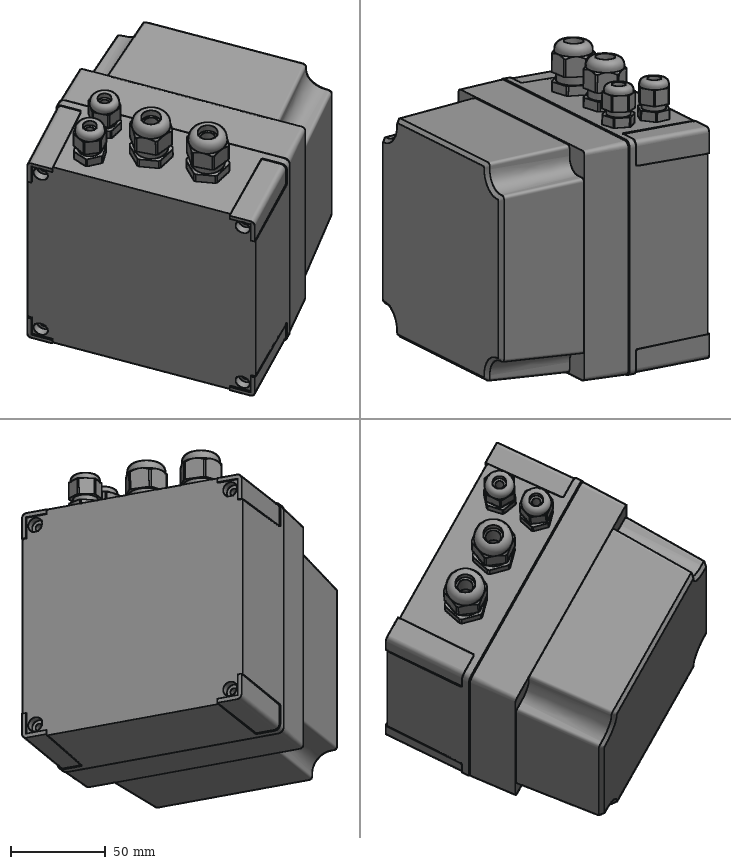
import cadquery as cq
import math

OVERALL_HEIGHT = 157.0
CORNER_AXIS = 56.8
EDGE_CENTRE = 61.4

BASE_DEPTH = 49.3
BASE_HALF_RIM = 130.1 / 2
BASE_HALF_FRONT = 64.4
RIM_CHAMFER_DEPTH = 0.6
WALL_TILT = math.atan((BASE_HALF_RIM - BASE_HALF_FRONT) / (BASE_DEPTH - RIM_CHAMFER_DEPTH))

PAD_START = 4.7
PAD_INNER_START = 50.7
PAD_INNER_FRONT = 49.9
PAD_EDGE_RADIUS = 1.0
PAD_BLOCK_REACH = BASE_HALF_RIM + 2 * PAD_EDGE_RADIUS
PAD_HALF_START = 64.4
PAD_HALF_FRONT = 64.0
FOOT_HEIGHT = 1.1
FOOT_WIDTH = 2.4
COUNTERBORE_DIAMETER = 8.0
COUNTERBORE_DEPTH = 4.5
SCREW_HOLE_DIAMETER = 4.0

LID_RIM_DEPTH = 26.4
LID_HALF_SEAM = 64.7
LID_HALF_STEP = 63.5
DOME_DEPTH = 49.9
DOME_CHAMFER_DEPTH = 2.2
DOME_CHAMFER_WIDTH = 2.0
DOME_HALF_STEP = 63.0
DOME_HALF_TOP = 60.5
DOME_EDGE_RADIUS = 1.9
DOME_EDGE_RADIUS_END = 1.0
FLUTE_CENTRE = 57.0
FLUTE_RADIUS_STEP = 8.5

FLANGE_HEIGHT = 5.3
FLANGE_TURN = 8.0
HALF_SIDE_ANGLE = 30
CORNER_TRIM = 0.97
SMALL_GLAND = dict(
    across_flats=15.7, neck_diameter=13.0, neck_height=3.3, hex_height=9.0, hex_chamfer=0.0,
    collar_height=1.1, rim_diameter=9.9, mouth_diameter=7.4, mouth_depth=3.1, bore_diameter=4.5,
)
LARGE_GLAND = dict(
    across_flats=20.4, neck_diameter=18.2, hex_height=11.1, hex_chamfer=1.5,
    collar_height=1.3, rim_diameter=11.6, mouth_diameter=10.5, mouth_depth=4.1, bore_diameter=8.0,
)
LARGE_GLAND_Y = -22.0
GLANDS = [
    (SMALL_GLAND, -34.8, -12.1, 5.3),
    (SMALL_GLAND, -34.8, -33.9, 30.3),
    (LARGE_GLAND, -4.9, LARGE_GLAND_Y, 5.3),
    (LARGE_GLAND, 27.0, LARGE_GLAND_Y, 5.3),
]
CORNERS = [(sx, sz) for sx in (-1, 1) for sz in (-1, 1)]


def section(y):
    """Workplane across the enclosure at the given Y, with local axes X and Z."""
    return cq.Workplane("XZ", origin=(0, y, 0))


def loft(*wires):
    """Solid with straight-sided walls through the given outlines."""
    return cq.Workplane(cq.Solid.makeLoft(list(wires), True))


def rounded_square(y, half):
    """Square outline whose corner arcs are centred on the edge centre lines."""
    outline = cq.Wire.makePolygon(
        [cq.Vector(sx * half, y, sz * half) for sx, sz in ((-1, -1), (1, -1), (1, 1), (-1, 1))], close=True
    )
    return outline.fillet2D(half - EDGE_CENTRE, outline.Vertices())


def fluted_square(y, half, flute_radius, edge_radius):
    """Square outline with a concave quarter round, flanked by short flats, in each corner."""
    shoulder = FLUTE_CENTRE - flute_radius
    middle = FLUTE_CENTRE - flute_radius * math.sqrt(0.5)
    corner = [
        (shoulder, half), (shoulder, FLUTE_CENTRE), (middle, middle),
        (FLUTE_CENTRE, shoulder), (half, shoulder),
    ]
    outline = section(y).moveTo(-shoulder, half)
    for _ in range(4):
        rim_start, arc_start, arc_middle, arc_end, rim_end = corner
        outline = outline.lineTo(*rim_start).lineTo(*arc_start)
        outline = outline.threePointArc(arc_middle, arc_end).lineTo(*rim_end)
        corner = [(z, -x) for x, z in corner]
    outline = outline.close().val()
    rim_corners = [v for v in outline.Vertices() if max(abs(v.X), abs(v.Z)) > FLUTE_CENTRE + edge_radius / 2]
    return outline.fillet2D(edge_radius, rim_corners)


def corner_block(sx, sz):
    """Square bar over one long edge, slightly wider at the front, that bounds a corner pad."""
    ends = []
    for y, inner in ((-PAD_START, PAD_INNER_START), (-BASE_DEPTH - FOOT_HEIGHT, PAD_INNER_FRONT)):
        side = PAD_BLOCK_REACH - inner
        centre = (PAD_BLOCK_REACH + inner) / 2
        ends.append(section(y).center(sx * centre, sz * centre).rect(side, side).val())
    return loft(*ends).faces(">Y").edges().fillet(PAD_EDGE_RADIUS)


def make_base():
    """Tapered box with a pad and a counterbored screw hole in each corner."""
    base = loft(
        rounded_square(0, LID_HALF_SEAM),
        rounded_square(-RIM_CHAMFER_DEPTH, BASE_HALF_RIM),
        rounded_square(-BASE_DEPTH, BASE_HALF_FRONT),
    )
    front = -BASE_DEPTH - FOOT_HEIGHT
    pad_core = loft(rounded_square(-PAD_START, PAD_HALF_START), rounded_square(front, PAD_HALF_FRONT))
    between_feet = 2 * (PAD_HALF_FRONT - FOOT_WIDTH)
    pad_core = pad_core.cut(section(-BASE_DEPTH).rect(between_feet, between_feet).extrude(FOOT_HEIGHT))
    for sx, sz in CORNERS:
        block = corner_block(sx, sz)
        base = base.cut(block).union(pad_core.intersect(block))
    holes = [(sx * CORNER_AXIS, sz * CORNER_AXIS) for sx, sz in CORNERS]
    screw_holes = section(0).pushPoints(holes).circle(SCREW_HOLE_DIAMETER / 2).extrude(BASE_DEPTH)
    counterbores = (
        section(-BASE_DEPTH + COUNTERBORE_DEPTH).pushPoints(holes)
        .circle(COUNTERBORE_DIAMETER / 2).extrude(COUNTERBORE_DEPTH)
    )
    return base.cut(screw_holes).cut(counterbores)


def make_lid():
    """Tapered rim carrying a narrower dome with fluted corners and a chamfered end."""
    rim = loft(rounded_square(0, LID_HALF_SEAM), rounded_square(LID_RIM_DEPTH, LID_HALF_STEP))
    lid_end = LID_RIM_DEPTH + DOME_DEPTH
    chamfer_start = lid_end - DOME_CHAMFER_DEPTH
    flute_radius_top = FLUTE_RADIUS_STEP + DOME_HALF_STEP - DOME_HALF_TOP
    step = fluted_square(LID_RIM_DEPTH, DOME_HALF_STEP, FLUTE_RADIUS_STEP, DOME_EDGE_RADIUS)
    chamfer_edge = fluted_square(chamfer_start, DOME_HALF_TOP, flute_radius_top, DOME_EDGE_RADIUS)
    end = fluted_square(
        lid_end, DOME_HALF_TOP - DOME_CHAMFER_WIDTH,
        flute_radius_top + DOME_CHAMFER_WIDTH, DOME_EDGE_RADIUS_END,
    )
    dome = loft(step, chamfer_edge, end)
    return rim.union(dome)


def wall_height(y):
    """Z of the sloping upper wall of the base."""
    return BASE_HALF_RIM + (y + RIM_CHAMFER_DEPTH) * math.tan(WALL_TILT)


def dome_radius(size):
    """Radius of the quarter round from the collar of a nut to the rim of its mouth."""
    return (size["across_flats"] - size["rim_diameter"]) / 2


def neck_height_to_reach(size, y, top):
    """Neck length for which the tilted dome of a gland just reaches the height `top`."""
    dome = dome_radius(size)
    rim_rise = size["rim_diameter"] / 2 * math.sin(WALL_TILT) + dome
    dome_start = (top - wall_height(y) - rim_rise) / math.cos(WALL_TILT)
    return dome_start - size["collar_height"] - size["hex_height"] - FLANGE_HEIGHT


def hexagon(across_flats, height, turn):
    """Upright hexagon bar with its sharp corners cut off by narrow flats."""
    corner_diameter = across_flats / math.cos(math.radians(HALF_SIDE_ANGLE))
    bar = cq.Workplane("XY").polygon(6, corner_diameter).extrude(height)
    trim_diameter = CORNER_TRIM * corner_diameter / math.cos(math.radians(HALF_SIDE_ANGLE))
    trim = cq.Workplane("XY").polygon(6, trim_diameter).extrude(height)
    trim = trim.rotate((0, 0, 0), (0, 0, 1), HALF_SIDE_ANGLE)
    return bar.intersect(trim).rotate((0, 0, 0), (0, 0, 1), turn)


def make_gland_body(size, turn):
    """Hexagon flange and round neck with a through bore."""
    flange = hexagon(size["across_flats"], FLANGE_HEIGHT, turn + FLANGE_TURN)
    neck = cq.Workplane("XY").circle(size["neck_diameter"] / 2).extrude(FLANGE_HEIGHT + size["neck_height"])
    bore = cq.Workplane("XY").circle(size["bore_diameter"] / 2).extrude(FLANGE_HEIGHT + size["neck_height"])
    return flange.union(neck).cut(bore)


def make_cap_nut(size, turn):
    """Hexagon nut with a domed round head, a wide mouth and a narrower through bore."""
    hex_height = size["hex_height"]
    radius = size["across_flats"] / 2
    top = hex_height + size["collar_height"] + dome_radius(size)
    nut = hexagon(size["across_flats"], hex_height, turn)
    if size["hex_chamfer"] > 0:
        chamfer = size["hex_chamfer"]
        limit = (
            cq.Workplane("XZ").lineTo(radius + chamfer, 0).lineTo(radius + chamfer, hex_height - chamfer)
            .lineTo(radius, hex_height).lineTo(0, hex_height).close().revolve()
        )
        nut = nut.intersect(limit)
    head = cq.Workplane("XY").circle(radius).extrude(top).faces(">Z").edges().fillet(dome_radius(size))
    mouth = cq.Workplane("XY", origin=(0, 0, top - size["mouth_depth"])).circle(size["mouth_diameter"] / 2)
    bore = cq.Workplane("XY").circle(size["bore_diameter"] / 2).extrude(top)
    return nut.union(head).cut(bore).cut(mouth.extrude(size["mouth_depth"]))


def stand_on_wall(body, x, y, lift):
    """Place an upright body on the sloping upper wall of the base, square to it."""
    tilted = body.translate((0, 0, lift)).rotate((0, 0, 0), (1, 0, 0), math.degrees(WALL_TILT))
    return tilted.translate((x, y, wall_height(y)))


base = make_base()
lid = make_lid()

LARGE_GLAND["neck_height"] = neck_height_to_reach(LARGE_GLAND, LARGE_GLAND_Y, OVERALL_HEIGHT - BASE_HALF_RIM)
gland_bodies = []
cap_nuts = []
for size, x, y, turn in GLANDS:
    gland_bodies.append(stand_on_wall(make_gland_body(size, turn), x, y, 0).val())
    cap_nuts.append(stand_on_wall(make_cap_nut(size, turn), x, y, FLANGE_HEIGHT + size["neck_height"]).val())

result = cq.Compound.makeCompound([base.val(), lid.val(), *gland_bodies, *cap_nuts])